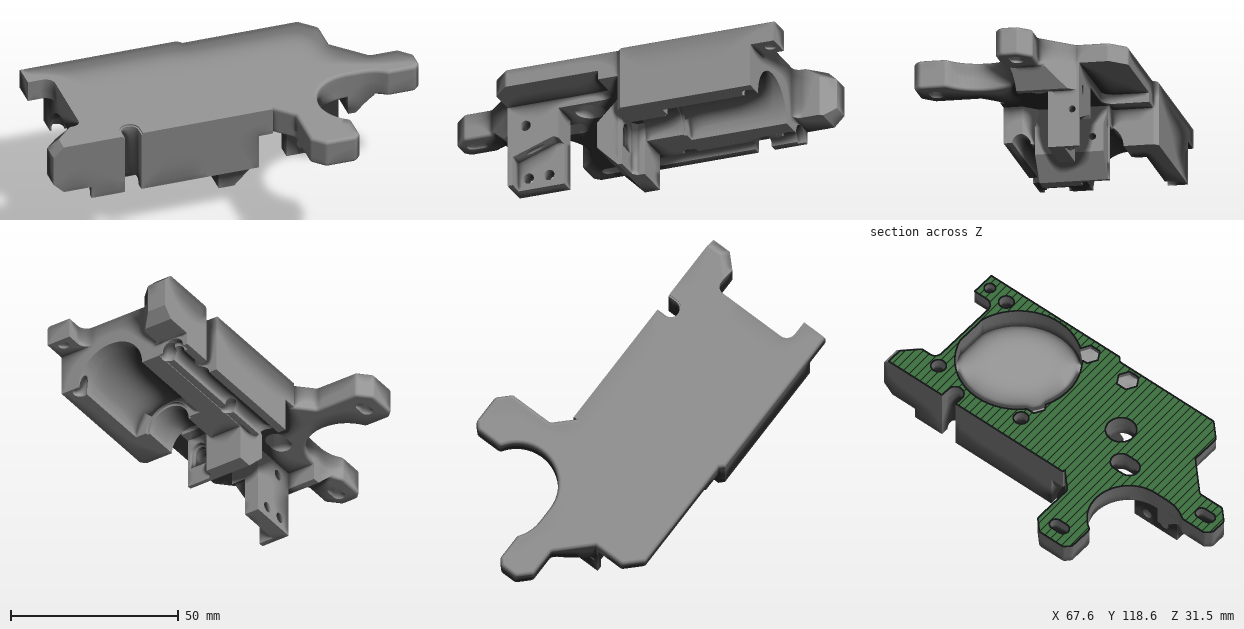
import cadquery as cq
import math


SKIN = 0.06
PLATE = 8.7
SHELF = 5.8
TAB = 6.6
BLOCK = 20.0
RAIL = 19.8
PRONG = 15.9
LEG = 31.5

RIGHT = 45.2
STRIP_BACK = 69.2
EAR_RIGHT = 67.6
LENGTH = 118.6
MARGIN = 0.1
FRONT_WALL = 12.0
BLOCK_BACK = 55.4
PLATE_BACK = 96.5
STEP = 1.4
SHELF_RIGHT = 15.4
FRONT_LEG_LEFT = 13.9
INNER_RIGHT = 35.1
EDGE_ROUND = 1.1
CORNER_ROUND = 1.4
EAR_BOTTOM_ROUND = 0.8

TAB_FRONT = 4.4
TAB_RIGHT = 8.0
OPENING_ROUND_LEFT = 3.1
OPENING_ROUND_RIGHT = 2.4

MOTOR_X = 46.5
MOTOR_R = 12.5
MOTOR_Y_LOW = 95.7
MOTOR_Y_HIGH = 100.6
UPPER_EAR_RIGHT = 36.7
SIDE_EAR_BACK = 89.5
EAR_FRONT = 74.6
EAR_ROOT_X = 49.8
EAR_CHAMFER = 3.8
EAR_CORNER = 1.9
EAR_LEFT = 25.7
DIAGONAL_BACK = 106.2
REAR_CORNER_X = 6.4

SCREW_X = 31.2
SCREW_Y = 81.7
SCREW_PITCH = 31.0
SCREW_SLOT_LENGTH = 6.5
SCREW_SLOT_WIDTH = 3.7
HEAD_SLOT_LENGTH = 9.5
HEAD_SLOT_WIDTH = 6.3

BOLT_X, BOLT_Y, BOLT_R = 21.6, 72.2, 4.6

FAN_X, FAN_Y, FAN_R = 20.2, 31.4, 19.0
FAN_WALL = 1.2
FAN_SCREW_LEFT, FAN_SCREW_FRONT = 5.1, 14.4
FAN_SCREW_PITCH = 31.9
FAN_SCREW_R = 2.3
TAB_HOLE_X, TAB_HOLE_Y, TAB_HOLE_R = 4.0, 7.1, 1.7
NUT_FLATS = 5.9
NUT_DEPTH = 3.0
INNER_NUT_X = 30.1
SIDE_NUT_X, SIDE_NUT_Y = 5.6, 61.7

PATH_X = 17.5
TUNNEL_R = 7.0
TUNNEL_MOUTH_R = 7.8
DUCT_R = 11.4
DUCT_END = 42.7
RAMP_LEFT_ANGLE, RAMP_RIGHT_ANGLE = 47.0, 56.0
FILAMENT_R = 1.1

ROD_X = 40.0
ROD_R = 2.6
ROD_SEAT_R = 3.8
ROD_SEAT_DEPTH = 2.4
RAIL_BACK = 64.6
RAIL_CORNER = 4.4

NOTCH_Y, NOTCH_END_X, NOTCH_R, NOTCH_CHAMFER = 25.0, 42.2, 2.6, 0.5

PRONG_CORNER = 4.0
PRONG_BEVEL = 3.2

REAR_LEG_FRONT = 80.2
REAR_LEG_RIGHT = 24.9
SIDE_POCKET_X = 20.2
SIDE_POCKET_BACK = 94.9
SIDE_POCKET_TOP_BACK = 22.3
SIDE_POCKET_TOP_FRONT = 17.7
SIDE_POCKET_LIP = 81.8
SIDE_POCKET_LIP_DROP = 0.8
LEG_HOLE_R = 1.7
LEG_HOLES = ((90.7, -12.7), (91.7, -27.9), (85.0, -27.9))
SHELF_FRONT = 61.7
SHELF_ROUND = 3.8

FRONT_LEG_FRONT = BLOCK_BACK
FRONT_LEG_BACK = 60.3
NOSE_BACK = 67.1
NOSE_LEFT = 14.2
NOSE_TOP, NOSE_UPPER, NOSE_LOWER = 9.5, 16.4, 24.7
RECESS_TOP = 14.7
RECESS_Y = 59.0
RECESS_RIGHT = 21.7
RECESS_CHAMFER = 1.3
FITTING_R, FITTING_INNER_R = 3.0, 2.1
FITTING_BOTTOM = 25.4
FITTING_STEP = 1.2
FUNNEL_R, FUNNEL_DEPTH = 2.0, 1.0

RIB_BACK_TOP, RIB_BACK_BOTTOM, RIB_BOTTOM = 104.6, 98.9, 14.2


def box(x0, x1, y0, y1, z0, z1):
    return cq.Workplane("XY").box(x1 - x0, y1 - y0, z1 - z0, centered=False).translate((x0, y0, z0))


def along_y(x, z, radius, y0, y1):
    """Cylinder along Y from y0 to y1."""
    return cq.Workplane("XZ", origin=(x, y0, z)).circle(radius).extrude(y0 - y1)


def plate_outline():
    low_dx = math.sqrt(MOTOR_R**2 - (MOTOR_Y_LOW - SIDE_EAR_BACK) ** 2)
    high_dy = math.sqrt(MOTOR_R**2 - (MOTOR_X - UPPER_EAR_RIGHT) ** 2)
    mid_high = math.pi - 0.5 * math.asin(high_dy / MOTOR_R)
    upper_mid = (
        MOTOR_X + MOTOR_R * math.cos(mid_high),
        MOTOR_Y_HIGH + MOTOR_R * math.sin(mid_high),
    )
    return (
        cq.Workplane("XY")
        .moveTo(0, TAB_FRONT)
        .lineTo(0, BLOCK_BACK - STEP)
        .lineTo(STEP, BLOCK_BACK)
        .lineTo(STEP, PLATE_BACK - REAR_CORNER_X + STEP)
        .lineTo(REAR_CORNER_X, PLATE_BACK)
        .lineTo(EAR_LEFT - DIAGONAL_BACK + PLATE_BACK, PLATE_BACK)
        .lineTo(EAR_LEFT, DIAGONAL_BACK)
        .lineTo(EAR_LEFT, LENGTH - EAR_CHAMFER)
        .lineTo(EAR_LEFT + EAR_CHAMFER, LENGTH)
        .lineTo(UPPER_EAR_RIGHT - EAR_CORNER, LENGTH)
        .lineTo(UPPER_EAR_RIGHT, LENGTH - EAR_CORNER)
        .lineTo(UPPER_EAR_RIGHT, MOTOR_Y_HIGH + high_dy)
        .threePointArc(upper_mid, (MOTOR_X - MOTOR_R, MOTOR_Y_HIGH))
        .lineTo(MOTOR_X - MOTOR_R, MOTOR_Y_LOW)
        .threePointArc((MOTOR_X, MOTOR_Y_LOW - MOTOR_R), (MOTOR_X + low_dx, SIDE_EAR_BACK))
        .lineTo(EAR_RIGHT - EAR_CORNER, SIDE_EAR_BACK)
        .lineTo(EAR_RIGHT, SIDE_EAR_BACK - EAR_CORNER)
        .lineTo(EAR_RIGHT, EAR_FRONT + EAR_CHAMFER)
        .lineTo(EAR_RIGHT - EAR_CHAMFER, EAR_FRONT)
        .lineTo(EAR_ROOT_X, EAR_FRONT)
        .lineTo(INNER_RIGHT, EAR_FRONT - EAR_ROOT_X + INNER_RIGHT)
        .lineTo(INNER_RIGHT, FRONT_WALL)
        .lineTo(TAB_RIGHT, FRONT_WALL)
        .lineTo(TAB_RIGHT, TAB_FRONT)
        .close()
    )


def is_rounded_corner(edge):
    """Upright plate corners behind the left step, without the foot of the diagonal and the seam."""
    corner = edge.Center()
    is_diagonal_foot = corner.x < EAR_LEFT and corner.x > REAR_CORNER_X + 1.2
    return corner.y > BLOCK_BACK + MARGIN and corner.x != INNER_RIGHT and not is_diagonal_foot


def is_rounded_top(edge):
    """Top edges of the plate except those of the front opening and the seam with the right strip."""
    middle = edge.Center()
    return middle.x < STEP + MARGIN or middle.y > BLOCK_BACK


def is_ear_bottom(edge):
    """Bottom edges of the two ears, including the edges that run on smoothly from them."""
    middle = edge.Center()
    return (middle.y > STRIP_BACK and middle.x > RIGHT) or middle.y > DIAGONAL_BACK


def make_plate():
    plate = plate_outline().extrude(-PLATE)
    corners = [e for e in plate.edges("|Z").vals() if is_rounded_corner(e)]
    plate = cq.Workplane(plate.val().fillet(CORNER_ROUND, corners))
    top_edges = [e for e in plate.faces(">Z").edges().vals() if is_rounded_top(e)]
    plate = cq.Workplane(plate.val().fillet(EDGE_ROUND, top_edges))
    bottom_edges = [e for e in plate.faces("<Z").edges().vals() if is_ear_bottom(e)]
    plate = cq.Workplane(plate.val().fillet(EAR_BOTTOM_ROUND, bottom_edges))
    plate = plate.union(box(INNER_RIGHT, RIGHT, FRONT_WALL, STRIP_BACK, -PLATE, 0))
    plate = plate.cut(box(0, TAB_RIGHT, TAB_FRONT, FRONT_WALL, -PLATE, -TAB))
    shelf_gap = (
        box(0, SHELF_RIGHT, SHELF_FRONT, PLATE_BACK, -PLATE, -SHELF)
        .edges("|Z and >X and <Y")
        .fillet(SHELF_ROUND)
    )
    return plate.cut(shelf_gap)


def make_block():
    block = (
        cq.Workplane("XY", origin=(0, 0, -TAB))
        .polyline(
            [
                (0, FRONT_WALL),
                (INNER_RIGHT, FRONT_WALL),
                (INNER_RIGHT, BLOCK_BACK),
                (STEP, BLOCK_BACK),
                (0, BLOCK_BACK - STEP),
            ]
        )
        .close()
        .extrude(TAB - BLOCK)
    )
    rail = box(INNER_RIGHT, RIGHT, FRONT_WALL, RAIL_BACK, -RAIL, -TAB)
    return block.union(rail.edges("|Z and <X and >Y").chamfer(RAIL_CORNER))


def make_prong():
    prong = box(INNER_RIGHT, RIGHT, 0, FRONT_WALL, -PRONG, 0)
    prong = prong.edges("|Z and <X and <Y").chamfer(PRONG_CORNER)
    prong = prong.faces("<Y").edges("<Z").chamfer(PRONG_BEVEL)
    front_top_edges = cq.selectors.BoxSelector(
        (INNER_RIGHT - MARGIN, -MARGIN, -MARGIN), (RIGHT - MARGIN, PRONG_CORNER, MARGIN)
    )
    return prong.edges(front_top_edges).chamfer(PRONG_BEVEL)


def opening_round(x, side, r, depth):
    """Concave round where a side of the front opening meets the front wall."""
    corner = box(min(x, x + side * r), max(x, x + side * r), FRONT_WALL - r, FRONT_WALL, -depth, 0)
    bore = cq.Workplane("XY").center(x + side * r, FRONT_WALL - r).circle(r).extrude(-depth)
    return corner.cut(bore)


def make_rear_leg():
    leg = box(SHELF_RIGHT, REAR_LEG_RIGHT, REAR_LEG_FRONT, PLATE_BACK, -LEG, -SHELF)
    pocket = (
        cq.Workplane("YZ", origin=(SHELF_RIGHT, 0, 0))
        .polyline(
            [
                (SIDE_POCKET_BACK, -LEG),
                (SIDE_POCKET_BACK, -SIDE_POCKET_TOP_BACK),
                (SIDE_POCKET_LIP, -SIDE_POCKET_TOP_FRONT),
                (REAR_LEG_FRONT, -SIDE_POCKET_TOP_FRONT - SIDE_POCKET_LIP_DROP),
                (REAR_LEG_FRONT, -LEG),
            ]
        )
        .close()
        .extrude(SIDE_POCKET_X - SHELF_RIGHT)
    )
    holes = (
        cq.Workplane("YZ", origin=(SHELF_RIGHT, 0, 0))
        .pushPoints(LEG_HOLES)
        .circle(LEG_HOLE_R)
        .extrude(REAR_LEG_RIGHT - SHELF_RIGHT)
    )
    return leg.cut(pocket).cut(holes)


def make_front_leg():
    leg = box(FRONT_LEG_LEFT, INNER_RIGHT, FRONT_LEG_FRONT, FRONT_LEG_BACK, -LEG, -TAB)
    nose = (
        cq.Workplane("YZ", origin=(NOSE_LEFT, 0, 0))
        .polyline(
            [
                (FRONT_LEG_BACK, -NOSE_TOP),
                (NOSE_BACK, -NOSE_UPPER),
                (NOSE_BACK, -NOSE_LOWER),
                (FRONT_LEG_BACK, -LEG),
            ]
        )
        .close()
        .extrude(INNER_RIGHT - NOSE_LEFT)
    )
    recess = (
        cq.Workplane("XY", origin=(0, 0, -LEG))
        .polyline(
            [
                (FRONT_LEG_LEFT, FRONT_LEG_FRONT),
                (FRONT_LEG_LEFT, RECESS_Y),
                (RECESS_RIGHT, RECESS_Y),
                (RECESS_RIGHT + RECESS_CHAMFER, RECESS_Y - RECESS_CHAMFER),
                (RECESS_RIGHT + RECESS_CHAMFER, FRONT_LEG_FRONT),
            ]
        )
        .close()
        .extrude(LEG - RECESS_TOP)
    )
    leg = leg.union(nose).cut(recess)
    for radius, depth in ((FITTING_R, FITTING_STEP), (FITTING_INNER_R, 2 * FITTING_STEP)):
        back = RECESS_Y + depth
        leg = leg.cut(along_y(PATH_X, -BLOCK, radius, RECESS_Y, back))
        leg = leg.cut(box(PATH_X - radius, PATH_X + radius, RECESS_Y, back, -FITTING_BOTTOM, -BLOCK))
    funnel = (
        cq.Workplane("XY")
        .polyline([(0, 0), (FUNNEL_R, 0), (FILAMENT_R, FUNNEL_DEPTH), (0, FUNNEL_DEPTH)])
        .close()
        .revolve(360, (0, 0, 0), (0, 1, 0))
        .translate((PATH_X, RECESS_Y + 2 * FITTING_STEP, -BLOCK))
    )
    return leg.cut(funnel)


def make_rib():
    rib = (
        cq.Workplane("YZ", origin=(SHELF_RIGHT, 0, 0))
        .polyline(
            [
                (PLATE_BACK, -SHELF),
                (RIB_BACK_TOP, -SHELF),
                (RIB_BACK_TOP, -PLATE),
                (RIB_BACK_BOTTOM, -RIB_BOTTOM),
                (PLATE_BACK, -RIB_BOTTOM),
            ]
        )
        .close()
        .extrude(INNER_RIGHT - SHELF_RIGHT)
    )
    return rib.intersect(plate_outline().extrude(-LEG))


def nut(x, y):
    across_corners = NUT_FLATS / math.cos(math.pi / 6)
    return (
        cq.Workplane("XY")
        .polygon(6, across_corners)
        .extrude(-NUT_DEPTH)
        .rotate((0, 0, 0), (0, 0, 1), 90)
        .translate((x, y, 0))
    )


def slot(x, y, length, width):
    return cq.Workplane("XY").center(x, y).slot2D(length, width, 90).extrude(-PLATE)


def make_top_holes():
    fan = cq.Workplane("XY").center(FAN_X, FAN_Y).circle(FAN_R).extrude(-PLATE)
    holes = fan.cut(box(0, RIGHT, 0, FRONT_WALL + FAN_WALL, -PLATE, 0))
    fan_right = FAN_SCREW_LEFT + FAN_SCREW_PITCH
    fan_back = FAN_SCREW_FRONT + FAN_SCREW_PITCH
    for x, y in ((FAN_SCREW_LEFT, fan_back), (INNER_NUT_X, fan_back), (SIDE_NUT_X, SIDE_NUT_Y)):
        holes = holes.union(nut(x, y))
    screws = [(FAN_SCREW_LEFT, FAN_SCREW_FRONT), (fan_right, FAN_SCREW_FRONT), (fan_right, fan_back)]
    holes = holes.union(cq.Workplane("XY").pushPoints(screws).circle(FAN_SCREW_R).extrude(-BLOCK))
    holes = holes.union(cq.Workplane("XY").center(TAB_HOLE_X, TAB_HOLE_Y).circle(TAB_HOLE_R).extrude(-TAB))
    holes = holes.union(cq.Workplane("XY").center(BOLT_X, BOLT_Y).circle(BOLT_R).extrude(-PLATE))
    holes = holes.union(slot(SCREW_X, SCREW_Y, HEAD_SLOT_LENGTH, HEAD_SLOT_WIDTH))
    for x, y in ((SCREW_X, SCREW_Y + SCREW_PITCH), (SCREW_X + SCREW_PITCH, SCREW_Y)):
        holes = holes.union(slot(x, y, SCREW_SLOT_LENGTH, SCREW_SLOT_WIDTH))
    return holes


def make_filament_path():
    """Air duct, its sloped back end, the tunnel behind it and the filament hole, all along one axis."""
    duct = along_y(PATH_X, -BLOCK, DUCT_R, FRONT_WALL, DUCT_END)
    ramp_length = DUCT_R - TUNNEL_MOUTH_R
    ramp = (
        cq.Workplane("XY")
        .polyline([(TUNNEL_MOUTH_R, DUCT_END), (DUCT_R, DUCT_END), (DUCT_R, DUCT_END + ramp_length)])
        .close()
        .revolve(RAMP_LEFT_ANGLE + RAMP_RIGHT_ANGLE, (0, 0, 0), (0, 1, 0))
        .rotate((0, 0, 0), (0, 1, 0), -90 - RAMP_LEFT_ANGLE)
        .translate((PATH_X, 0, -BLOCK))
    )
    mouth_depth = TUNNEL_MOUTH_R - TUNNEL_R
    mouth = along_y(PATH_X, -BLOCK, TUNNEL_MOUTH_R, DUCT_END, DUCT_END + mouth_depth)
    tunnel = along_y(PATH_X, -BLOCK, TUNNEL_R, DUCT_END, BLOCK_BACK)
    hole = along_y(PATH_X, -BLOCK, FILAMENT_R, FRONT_LEG_FRONT, PLATE_BACK)
    return duct.union(ramp).union(mouth).union(tunnel).union(hole)


def make_rod_channel():
    seat = along_y(ROD_X, -RAIL, ROD_SEAT_R, FRONT_WALL, FRONT_WALL + ROD_SEAT_DEPTH)
    return seat.union(along_y(ROD_X, -RAIL, ROD_R, FRONT_WALL, RAIL_BACK))


def make_notch():
    def shape(radius, depth):
        round_end = cq.Workplane("XY").center(NOTCH_END_X, NOTCH_Y).circle(radius).extrude(-depth)
        return round_end.union(box(NOTCH_END_X, RIGHT, NOTCH_Y - radius, NOTCH_Y + radius, -depth, 0))
    return shape(NOTCH_R, BLOCK).union(shape(NOTCH_R + NOTCH_CHAMFER, NOTCH_CHAMFER))


def make_filled_part():
    """Everything but the holes that open towards the top face, including the top skin."""
    part = make_plate().union(make_block()).union(make_prong())
    part = part.union(opening_round(TAB_RIGHT, 1, OPENING_ROUND_LEFT, TAB))
    part = part.union(opening_round(INNER_RIGHT, -1, OPENING_ROUND_RIGHT, PRONG))
    part = part.union(make_rear_leg()).union(make_front_leg()).union(make_rib())
    return part.cut(make_filament_path()).cut(make_rod_channel()).cut(make_notch())


def make_housing(filled_part, skin_layer):
    return filled_part.cut(skin_layer).cut(make_top_holes())


def make_cover_skin(filled_part, skin_layer):
    """Thin flush layer that closes the holes of the housing at the top."""
    return filled_part.intersect(skin_layer)


filled_part = make_filled_part()
skin_layer = box(0, EAR_RIGHT, 0, LENGTH, -SKIN, 0)
housing = make_housing(filled_part, skin_layer)
cover_skin = make_cover_skin(filled_part, skin_layer)

result = cq.Compound.makeCompound([*housing.solids().vals(), *cover_skin.solids().vals()])